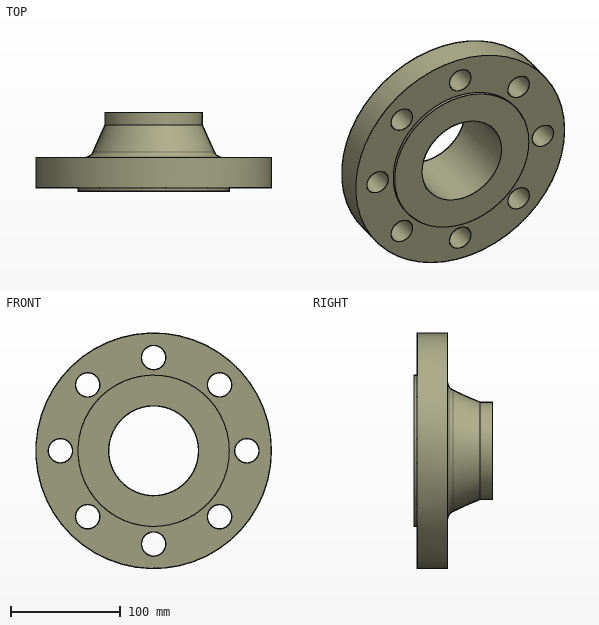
import cadquery as cq
import math

flange_diameter = 215.0
flange_thickness = 28.0
face_diameter = 138.0
face_height = 3.0
total_length = 72.0
bore_diameter = 81.7

neck_diameter = 89.0
neck_straight_length = 11.6
hub_diameter = 115.2
hub_fillet_radius = 8.0

bolt_count = 8
bolt_circle_diameter = 170.0
bolt_hole_diameter = 22.0

flange_back = face_height + flange_thickness
cone_end = total_length - neck_straight_length


def disc(diameter, start, end):
    """Round disc about the Y axis between two Y positions."""
    face = cq.Workplane("XZ", origin=(0, start, 0)).circle(diameter / 2)
    return face.extrude(start - end)


def hub_and_neck():
    """Tapered hub with a concave fillet at its root and a straight weld end."""
    hub_radius = hub_diameter / 2
    neck_radius = neck_diameter / 2
    cone_angle = math.atan2(cone_end - flange_back, hub_radius - neck_radius)
    tangent_length = hub_fillet_radius * math.tan(cone_angle / 2)
    root_radius = hub_radius + tangent_length
    cone_start = (
        hub_radius - tangent_length * math.cos(cone_angle),
        flange_back + tangent_length * math.sin(cone_angle),
    )
    fillet_middle = (
        root_radius - hub_fillet_radius * math.sin(cone_angle / 2),
        flange_back + hub_fillet_radius * (1 - math.cos(cone_angle / 2)),
    )
    return (
        cq.Workplane("XY")
        .moveTo(0, face_height)
        .lineTo(root_radius, face_height)
        .lineTo(root_radius, flange_back)
        .threePointArc(fillet_middle, cone_start)
        .lineTo(neck_radius, cone_end)
        .lineTo(neck_radius, total_length)
        .lineTo(0, total_length)
        .close()
        .revolve(360, (0, 0, 0), (0, 1, 0))
    )


def bolt_holes():
    """Equally spaced through holes, the first one on the +X axis."""
    return (
        cq.Workplane("XZ")
        .polarArray(bolt_circle_diameter / 2, 0, 360, bolt_count)
        .circle(bolt_hole_diameter / 2)
        .extrude(-flange_back)
    )


raised_face = disc(face_diameter, 0, face_height)
flange = disc(flange_diameter, face_height, flange_back)
bore = disc(bore_diameter, 0, total_length)

result = raised_face.union(flange).union(hub_and_neck()).cut(bore).cut(bolt_holes())